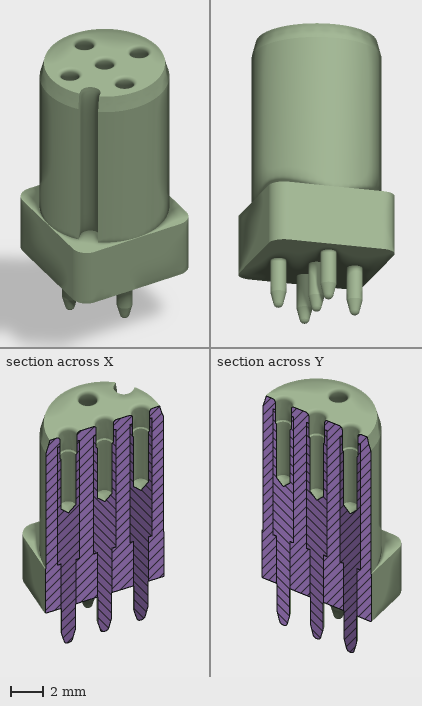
import cadquery as cq
import math

tail_length = 3.1
base_height = 3.8
total_height = 17.7
top_z = total_height - tail_length

base_side = 8.2
base_corner_radius = 1.0
tower_diameter = 8.1
tower_height = top_z - base_height
lead_in_height = 1.0
lead_in_width = 0.27

keyway_width = 1.27
keyway_angle = -45.0
keyway_center_radius = 3.47

contact_pitch = 2.5
contact_places = [
    (0, 0),
    (contact_pitch, 0),
    (-contact_pitch, 0),
    (0, contact_pitch),
    (0, -contact_pitch),
]

entry_diameter = 1.15
entry_rim_diameter = 1.65
entry_round_radius = (entry_rim_diameter - entry_diameter) / 2
entry_depth = 0.85

barrel_diameter = 1.49
barrel_height = tower_height - entry_depth
barrel_top_z = base_height + barrel_height
tail_diameter = 1.0
tail_straight_length = 2.12
tip_height = tail_length - tail_straight_length
tip_taper_angle = 14.6
tip_end_radius = tail_diameter / 2 - tip_height * math.tan(math.radians(tip_taper_angle))
tip_round_radius = 0.28

guide_diameter = entry_diameter
guide_depth = 1.0
socket_diameter = 1.0
socket_depth = 5.31
socket_taper_depth = (guide_diameter - socket_diameter) / 2
socket_floor_height = socket_diameter / 2


def cylinder(diameter, bottom_z, height):
    """Vertical cylinder on the Z axis."""
    return cq.Workplane("XY").workplane(offset=bottom_z).circle(diameter / 2).extrude(height)


def make_keyway_cutter():
    """Round-ended slot, open outwards, over the full tower height."""
    reach = tower_diameter / 2
    round_end = cylinder(keyway_width, base_height, tower_height)
    channel = (
        cq.Workplane("XY")
        .workplane(offset=base_height)
        .center(reach / 2, 0)
        .rect(reach, keyway_width)
        .extrude(tower_height)
    )
    slot = round_end.union(channel).translate((keyway_center_radius, 0, 0))
    return slot.rotate((0, 0, 0), (0, 0, 1), keyway_angle)


def make_entry_cutter():
    """Entry hole with a rounded rim."""
    rim_radius = entry_rim_diameter / 2
    arc_offset = entry_round_radius * math.sqrt(0.5)
    arc_middle = (rim_radius - arc_offset, top_z - entry_round_radius + arc_offset)
    return (
        cq.Workplane("XZ")
        .moveTo(0, barrel_top_z)
        .lineTo(entry_diameter / 2, barrel_top_z)
        .lineTo(entry_diameter / 2, top_z - entry_round_radius)
        .threePointArc(arc_middle, (rim_radius, top_z))
        .lineTo(0, top_z)
        .close()
        .revolve(360, (0, 0), (0, 1))
    )


def make_contact_cavity():
    """Stepped hole for one contact: tail hole, barrel seat and entry hole."""
    return (
        cylinder(tail_diameter, 0, base_height)
        .union(cylinder(barrel_diameter, base_height, barrel_height))
        .union(make_entry_cutter())
    )


def make_housing():
    """Square base and keyed round tower with five contact cavities."""
    base = (
        cq.Workplane("XY")
        .rect(base_side, base_side)
        .extrude(base_height)
        .edges("|Z")
        .fillet(base_corner_radius)
    )
    tower = (
        cylinder(tower_diameter, base_height, tower_height)
        .faces(">Z")
        .chamfer(lead_in_height, lead_in_width)
    )
    body = base.union(tower).cut(make_keyway_cutter())
    cavity = make_contact_cavity()
    for x, y in contact_places:
        body = body.cut(cavity.translate((x, y, 0)))
    return body


def make_contact():
    """Turned contact on the Z axis: tapered tail below, bored barrel above."""
    outer = (
        cq.Workplane("XZ")
        .moveTo(0, -tail_length)
        .lineTo(tip_end_radius, -tail_length)
        .lineTo(tail_diameter / 2, -tail_straight_length)
        .lineTo(tail_diameter / 2, base_height)
        .lineTo(barrel_diameter / 2, base_height)
        .lineTo(barrel_diameter / 2, barrel_top_z)
        .lineTo(0, barrel_top_z)
        .close()
        .revolve(360, (0, 0), (0, 1))
        .faces("<Z")
        .edges()
        .fillet(tip_round_radius)
    )
    guide_floor_z = barrel_top_z - guide_depth
    floor_z = barrel_top_z - socket_depth
    socket = (
        cq.Workplane("XZ")
        .moveTo(0, floor_z - socket_floor_height)
        .lineTo(socket_diameter / 2, floor_z)
        .lineTo(socket_diameter / 2, guide_floor_z - socket_taper_depth)
        .lineTo(guide_diameter / 2, guide_floor_z)
        .lineTo(guide_diameter / 2, barrel_top_z)
        .lineTo(0, barrel_top_z)
        .close()
        .revolve(360, (0, 0), (0, 1))
    )
    return outer.cut(socket)


housing = make_housing()

contact = make_contact()
contacts = []
for x, y in contact_places:
    contacts.append(contact.translate((x, y, 0)).val())

result = cq.Compound.makeCompound([housing.val(), *contacts])